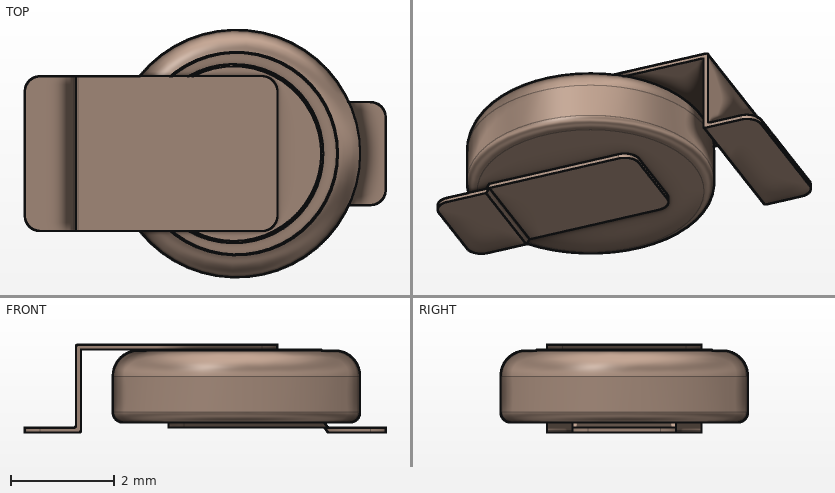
import cadquery as cq

length = 7.0
height = 1.71
sheet = 0.1
corner_radius = 0.3

cell_x = 4.1
cell_radius = 4.8 / 2
cell_bottom = 2 * sheet
cell_top = 1.595
top_round = 0.505
bottom_round = 0.2

recess_radius = 3.905 / 2
recess_depth = 0.055
recess_slope = 0.02

disc_radius = 3.47 / 2
disc_slope = 0.04
disc_shift = -0.05
disc_top = height - sheet

upper_width = 3.0
riser_x = 0.995
upper_end = 4.9
bend_radius = 0.04

lower_width = 2.0
lower_start = 2.785
step_x = 5.81
step_run = 0.07


def frustum(x, bottom, top, bottom_radius, top_radius):
    """Vertical cone frustum centred on (x, 0)."""
    return (
        cq.Workplane("XZ")
        .moveTo(0, bottom)
        .lineTo(bottom_radius, bottom)
        .lineTo(top_radius, top)
        .lineTo(0, top)
        .close()
        .revolve(360, (0, 0, 0), (0, 1, 0))
        .translate((x, 0, 0))
    )


def extrude_tab(points, width):
    """Bent sheet profile in XZ, extruded symmetrically about Y = 0."""
    return cq.Workplane("XZ").polyline(points).close().extrude(width / 2, both=True)


def round_end_corners(tab):
    """Round the vertical corners at the two free ends of a tab."""
    for end in ("<X", ">X"):
        tab = tab.faces(end).edges("|Z").fillet(corner_radius)
    return tab


def make_cell():
    cell = (
        cq.Workplane("XY", origin=(cell_x, 0, cell_bottom))
        .circle(cell_radius)
        .extrude(cell_top - cell_bottom)
    )
    cell = cell.faces(">Z").edges().fillet(top_round)
    cell = cell.faces("<Z").edges().fillet(bottom_round)
    floor = cell_top - recess_depth
    recess = frustum(cell_x, floor, cell_top, recess_radius, recess_radius + recess_slope)
    disc = frustum(cell_x + disc_shift, floor, disc_top, disc_radius, disc_radius - disc_slope)
    return cell.cut(recess).union(disc)


def make_upper_tab():
    riser_inner_x = riser_x + sheet
    tab = extrude_tab(
        [
            (0, 0),
            (riser_inner_x, 0),
            (riser_inner_x, height - sheet),
            (upper_end, height - sheet),
            (upper_end, height),
            (riser_x, height),
            (riser_x, sheet),
            (0, sheet),
        ],
        upper_width,
    )
    for x, z in ((riser_x, height), (riser_x, sheet), (riser_inner_x, 0)):
        bend_edge = cq.selectors.NearestToPointSelector((x, 0, z))
        tab = tab.edges("|Y").edges(bend_edge).fillet(bend_radius)
    return round_end_corners(tab)


def make_lower_tab():
    step_end = step_x + step_run
    tab = extrude_tab(
        [
            (lower_start, sheet),
            (step_x, sheet),
            (step_end, 0),
            (length, 0),
            (length, sheet),
            (step_end, sheet),
            (step_x, cell_bottom),
            (lower_start, cell_bottom),
        ],
        lower_width,
    )
    return round_end_corners(tab)


result = make_cell().union(make_upper_tab()).union(make_lower_tab())